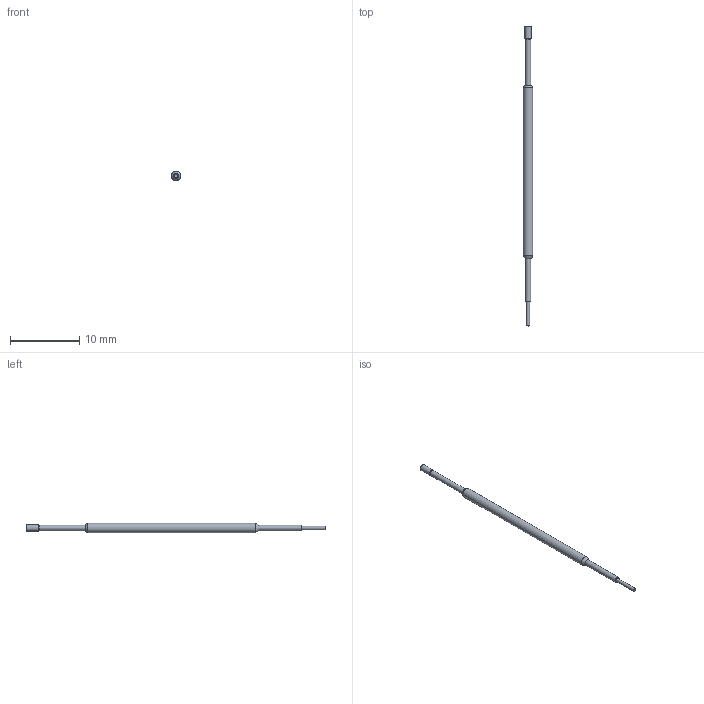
import math

import cadquery as cq

total_length = 43.4

body_diameter = 1.37
rear_shoulder_diameter = 1.1
sleeve_diameter = 0.82
shaft_diameter = 0.82
head_diameter = 0.93
pin_diameter = 0.48

pin_length = 3.6
sleeve_length = 6.15
front_round_length = 0.5
rear_taper_length = 0.25
shaft_length = 6.7
head_taper_length = 0.12
head_length = 1.85

sleeve_start = pin_length
sleeve_end = sleeve_start + sleeve_length
body_start = sleeve_end + front_round_length
head_start = total_length - head_length
shaft_end = head_start - head_taper_length
shaft_start = shaft_end - shaft_length
body_end = shaft_start - rear_taper_length


def front_round_middle():
    """Return the middle point of the arc that rises from the sleeve and ends tangent to the body."""
    rise = (body_diameter - sleeve_diameter) / 2
    arc_radius = (front_round_length**2 + rise**2) / (2 * rise)
    half_angle = math.asin(front_round_length / arc_radius) / 2
    arc_centre_radius = body_diameter / 2 - arc_radius
    return (
        arc_centre_radius + arc_radius * math.cos(half_angle),
        body_start - arc_radius * math.sin(half_angle),
    )


def make_probe():
    """Revolve the stepped half profile about the Y axis."""
    profile = (
        cq.Workplane("XY")
        .lineTo(pin_diameter / 2, 0)
        .lineTo(pin_diameter / 2, sleeve_start)
        .lineTo(sleeve_diameter / 2, sleeve_start)
        .lineTo(sleeve_diameter / 2, sleeve_end)
        .threePointArc(front_round_middle(), (body_diameter / 2, body_start))
        .lineTo(body_diameter / 2, body_end)
        .lineTo(rear_shoulder_diameter / 2, shaft_start)
        .lineTo(shaft_diameter / 2, shaft_start)
        .lineTo(shaft_diameter / 2, shaft_end)
        .lineTo(head_diameter / 2, head_start)
        .lineTo(head_diameter / 2, total_length)
        .lineTo(0, total_length)
        .close()
    )
    return profile.revolve(360, (0, 0, 0), (0, 1, 0))


result = make_probe()